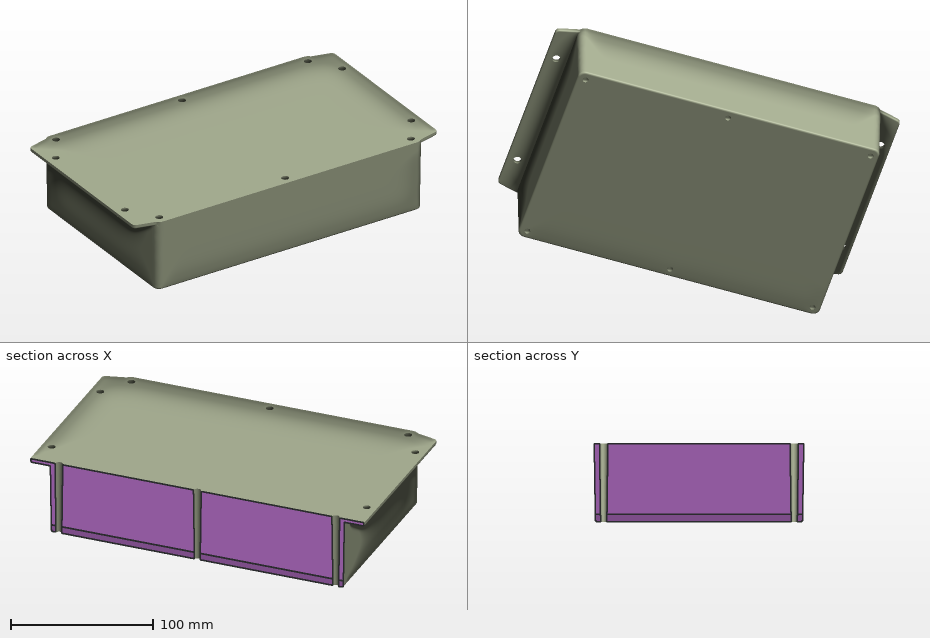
import cadquery as cq
import math

height = 55.0
top_width = 147.7
top_length = 224.0
flange_span = 254.2

draft_angle = 0.9
corner_radius = 5.8
lid_height = 5.0
bottom_fillet = 1.5

flange_thickness = 3.0
flange_tip_width = 135.3
flange_flare = 14.0
flange_corner_radius = 3.0
flange_edge_fillet = 1.0
mount_hole_diameter = 5.5
mount_hole_spacing_x = 89.8
mount_hole_spacing_y = 239.5

screw_spacing_x = 134.0
screw_spacing_y = 105.3
screw_hole_top_diameter = 5.5
screw_hole_bottom_diameter = 4.0
screw_rows = 3


def drafted_block():
    """Outer shape of box and lid together: narrower at the bottom, rounded below."""
    top_outline = cq.Sketch().rect(top_width, top_length).vertices().fillet(corner_radius)
    block = (
        cq.Workplane("XY", origin=(0, 0, height))
        .placeSketch(top_outline)
        .extrude(-height, taper=draft_angle)
    )
    return block.faces("<Z").edges().fillet(bottom_fillet)


def screw_holes():
    """Cutters for the tapered screw holes, in rows along both long sides."""
    taper_hole = cq.Solid.makeCone(screw_hole_bottom_diameter / 2, screw_hole_top_diameter / 2, height)
    return (
        cq.Workplane("XY")
        .rarray(screw_spacing_x, screw_spacing_y, 2, screw_rows)
        .eachpoint(lambda place: taper_hole.moved(place), combine=False)
    )


def flange_plate():
    """Plate whose two ends stick out past the box as mounting flanges."""
    tip_y = flange_span / 2
    tip_x = flange_tip_width / 2
    root_y = top_length / 2 - corner_radius
    root_x = tip_x + (tip_y - root_y) * math.tan(math.radians(flange_flare))
    plate = (
        cq.Workplane("XY", origin=(0, 0, height))
        .polyline([
            (-root_x, root_y), (-tip_x, tip_y), (tip_x, tip_y), (root_x, root_y),
            (root_x, -root_y), (tip_x, -tip_y), (-tip_x, -tip_y), (-root_x, -root_y),
        ])
        .close()
        .extrude(-flange_thickness)
    )
    plate = plate.edges("|Z and (>Y or <Y)").fillet(flange_corner_radius)
    plate = plate.faces("<Z").edges().fillet(flange_edge_fillet)
    return plate


def lid_zone():
    """Slab that holds everything below the joint between lid and box."""
    return cq.Workplane("XY").box(top_width, flange_span, lid_height, centered=(True, True, False))


def mount_holes():
    """Cutters for the four plain holes through the flanges."""
    return (
        cq.Workplane("XY", origin=(0, 0, height))
        .rarray(mount_hole_spacing_x, mount_hole_spacing_y, 2, 2)
        .circle(mount_hole_diameter / 2)
        .extrude(-flange_thickness)
    )


def make_box():
    """Box with its flanges, above the joint."""
    box = drafted_block().cut(lid_zone()).union(flange_plate())
    return box.cut(screw_holes()).cut(mount_holes())


def make_lid():
    """Flush lid that closes the bottom."""
    return drafted_block().intersect(lid_zone()).cut(screw_holes())


box = make_box()
lid = make_lid()

result = cq.Compound.makeCompound([box.solids().val(), lid.solids().val()])